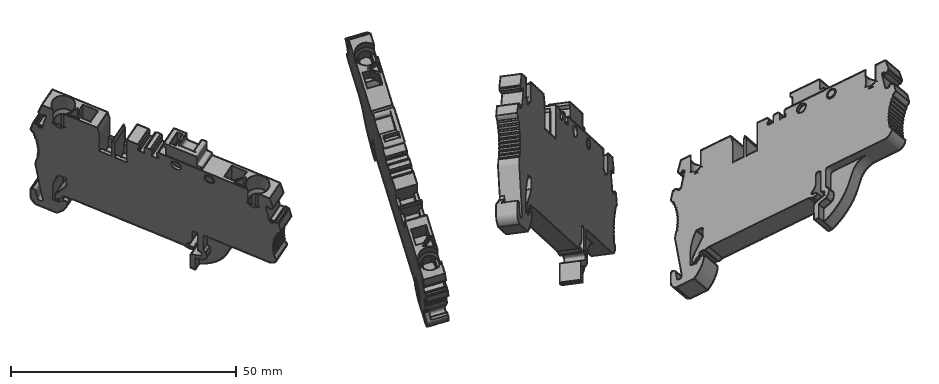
import cadquery as cq
import math

length = 62.8
width = 5
height = 40.1
half_length = length / 2
top_z = 36.1
belly_z = 7.1
shelf_z = 13.4

grip_top_z = 25.4
grip_bottom_z = 15.95
grip_teeth = 10
grip_tooth_depth = 0.25
grip_radius = 13.8
grip_waist_x = 29.6
grip_waist_z = 19.15

slot_left_x = -14.15
slot_right_x = -7.3
slot_floor_z = 28.15
blade_left_x = -11.05
blade_right_x = -10.3
groove_floor_z = 34.0
groove_left_x = (-4.1, -2.8)
groove_right_x = (-1.0, 0.3)
groove_lip = 0.4

pocket_front_y = 0.8
pocket_back_y = 4.35

entry_x = 24.4
entry_y = 2.25
entry_radius = 2.65
entry_depth = 4.7
entry_flat_width = 0.55
funnel_radius = 2.1
funnel_depth = 1.0
bore_inner_reach = 1.9
bore_back_y = 3.85
bore_depth = 6.3

release_inner_x = 16.8
release_outer_x = 20.55
release_floor_x = 19.7
release_depth = 9.4
release_rise = 2.5
release_corner = ((20.55, 2.6), (19.1, pocket_front_y))
gusset_corners = ((21.2, 2.95), (22, 0.45), (19.4, 0.45))
gusset_depth = 3.15

slot_pocket_depth = 3.15

slider_front_y = 0.1
slider_left_x = 2.45
slider_right_x = 10.2
slider_step_x = 11.5
slider_step_z = 37.0
slider_root_depth = 0.6
slider_root_chamfer = 0.3
slider_corner = 0.3
slider_step_corner = 0.45
scoop_front_y = 1.2
scoop_left_x = 5.1
scoop_right_x = 9.05
scoop_floor_z = 37.9
scoop_fillet = 0.6
bar_x = 9.4
bar_radius = 0.75
slider_pocket_x = (3.15, 3.7, 4.5)
slider_pocket_depth = 3.15
slider_pocket_ridge = 0.6

round_z = 34.1
round_diameter = 2.5
socket_x = 5.1
socket_depth = 0.75
pin_x = 13.45
pin_diameter = 2.0
pin_groove_depth = 1.25

relief_radius = 0.4
relief_depth = 0.4
groove_relief_z = 34.4
notch_reliefs = ((27.95, 32.5), (29.15, 28.15))

latch_web_thickness = 1.1
foot_web_thickness = 3.15
web_overlap = 0.6


def plate(sketch, start_y, end_y):
    """Extrude a closed XZ outline from start_y to end_y."""
    return sketch.extrude(start_y - end_y).translate((0, start_y, 0))


def both_ends(shape):
    """Add the mirror image about the YZ plane."""
    return shape.union(shape.mirror("YZ"))


def block(x, y, z):
    """Box between pairs of limits."""
    size = (x[1] - x[0], y[1] - y[0], z[1] - z[0])
    return cq.Workplane("XY").box(*size, centered=False).translate((x[0], y[0], z[0]))


def grip_x(z):
    """Distance of the concave grip surface from the middle plane."""
    sag = grip_radius - math.sqrt(grip_radius**2 - (z - grip_waist_z) ** 2)
    return grip_waist_x + sag


def end_profile():
    """Points down the right end: top corner, label notch, nose and serrated grip."""
    points = [
        (28.6, top_z), (29.45, 33.1), (29.35, 32.85), (28.95, 32.5), (27.6, 32.35), (28.5, 28.15),
        (29.65, 28.35), (30.0, 28.6), (30.45, 28.35), (30.85, 28.35), (half_length, 25.9),
    ]
    pitch = (grip_top_z - grip_bottom_z) / grip_teeth
    for tooth in range(grip_teeth):
        crest_z = grip_top_z - tooth * pitch
        valley_z = crest_z - pitch / 2
        points.append((grip_x(crest_z), crest_z))
        points.append((grip_x(valley_z) - grip_tooth_depth, valley_z))
    points.append((grip_x(grip_bottom_z), grip_bottom_z))
    return points


def body():
    right_end = end_profile()
    left_end = [(-x, z) for x, z in right_end]
    outline = cq.Workplane("XZ").polyline(left_end)

    outline = (
        outline.lineTo(-30.2, 14.3).lineTo(-30.15, 13.9).lineTo(-28.35, 2.7)
        .threePointArc((-28.9, 1.95), (-29.65, 2.4))
        .lineTo(-30.0, 4.5)
        .threePointArc((-30.45, 5.15), (-30.9, 5.3))
        .threePointArc((-31.3, 4.95), (-half_length, 4.45))
        .lineTo(-half_length, 1.95)
        .threePointArc((-30.9, 0.75), (-29.9, 0))
        .lineTo(-24.9, 0)
        .threePointArc((-23.05, 2.15), (-22.05, 5))
        .lineTo(-22.05, 5.45).lineTo(-23.45, 5.45).lineTo(-23.45, 5).lineTo(-24.45, 4.2).lineTo(-25.4, 4.2)
        .threePointArc((-25.75, 4.35), (-25.9, 4.8))
    )
    outline = (
        outline.lineTo(-25.9, 8.35)
        .threePointArc((-25.4, 11.2), (-24.25, 13.6))
        .lineTo(-22.8, 13.6)
        .threePointArc((-22.55, 13.45), (-22.4, 13.2))
        .lineTo(-22.4, 10.9).lineTo(-25.3, 6.2).lineTo(-25.3, 4.8).lineTo(-24.55, 4.8)
        .lineTo(-24.45, 5.3).lineTo(-23.45, 5.95).lineTo(-23.45, 6.55).lineTo(-23.0, 6.9)
        .lineTo(-22.2, 6.9).lineTo(-21.8, 6.7).lineTo(-20.7, belly_z)
    )
    outline = (
        outline.lineTo(7.2, belly_z).lineTo(8.3, 6.7).lineTo(9.0, 6.7)
        .threePointArc((9.4, 7.15), (9.0, 7.65))
        .lineTo(8.3, 7.65).lineTo(7.8, 8.1)
        .threePointArc((8.8, 9.2), (9.2, 10.55))
    )
    outline = (
        outline.lineTo(9.2, 12.75)
        .threePointArc((9.8, shelf_z), (10.5, 12.75))
        .lineTo(10.5, 7.4).lineTo(11.05, 7.1)
        .threePointArc((11.4, 6.9), (11.5, 6.55))
        .lineTo(11.5, 5.85).lineTo(9.35, 5)
        .threePointArc((8.8, 4.7), (8.6, 4.2))
        .lineTo(8.6, 0.25).lineTo(8.85, 0).lineTo(9.9, 0).lineTo(9.9, 3.95).lineTo(12.0, 4.7)
        .threePointArc((12.75, 6.1), (12.5, 7.5))
        .lineTo(11.9, 8.1).lineTo(11.9, 12.6)
        .threePointArc((12.1, 13.1), (12.6, shelf_z))
        .lineTo(28.65, shelf_z)
        .threePointArc((29.9, 14.2), (30.35, 15.4))
    )
    for point in reversed(right_end):
        outline = outline.lineTo(*point)
    for left, right in (groove_right_x, groove_left_x):
        outline = (
            outline.lineTo(right + groove_lip, top_z).lineTo(right, top_z - groove_lip)
            .lineTo(right, groove_floor_z).lineTo(left, groove_floor_z)
            .lineTo(left, top_z - groove_lip).lineTo(left - groove_lip, top_z)
        )
    outline = (
        outline.lineTo(slot_right_x, top_z).lineTo(slot_right_x, slot_floor_z)
        .lineTo(blade_right_x, slot_floor_z).lineTo(blade_right_x, 33.1).lineTo(-10.7, 34.05)
        .lineTo(blade_left_x, 33.1).lineTo(blade_left_x, slot_floor_z)
        .lineTo(slot_left_x, slot_floor_z).lineTo(slot_left_x, 34.2).lineTo(-14.7, top_z)
    )
    return plate(outline.close(), 0, width)


def foot_web():
    """Curved web that stiffens the fixed foot."""
    outline = (
        cq.Workplane("XZ").moveTo(9.4, 0).lineTo(9.9, 0)
        .threePointArc((13.95, 3.0), (16.6, 6.9))
        .lineTo(17.8, 10.0)
        .threePointArc((19.3, 12.4), (21.55, shelf_z))
        .lineTo(21.55, shelf_z + web_overlap).lineTo(11.0, shelf_z + web_overlap)
        .lineTo(11.0, 7.4).lineTo(11.95, 6.55).lineTo(11.95, 5.35).lineTo(9.4, 4.4)
    )
    return plate(outline.close(), width - foot_web_thickness, width)


def latch_web():
    """Small web that closes the back of the screwdriver slot."""
    outline = cq.Workplane("XZ").polyline([
        (-29.15, 7.55), (-29.2, 6.65), (-29.65, 6.35), (-30.9, 5.3), (-29.85, 1.75), (-28.15, 1.75),
    ])
    return plate(outline.close(), width - latch_web_thickness, width)


def slider():
    """Slider with a round bar behind its right end, a scoop and a pocket with a ridged floor."""
    root_z = top_z - slider_root_depth
    chamfer_x = slider_left_x + slider_root_chamfer
    outline = (
        cq.Workplane("XZ").moveTo(chamfer_x, root_z).lineTo(chamfer_x, top_z)
        .lineTo(slider_left_x, top_z + slider_root_chamfer).lineTo(slider_left_x, 38.65).lineTo(1.8, 39.25)
        .lineTo(1.8, 39.75)
        .threePointArc((1.9, 39.95), (2.15, height))
        .lineTo(slider_right_x - slider_corner, height)
        .tangentArcPoint((slider_corner, -slider_corner))
        .lineTo(slider_right_x, slider_step_z + slider_corner)
        .tangentArcPoint((slider_corner, -slider_corner))
        .lineTo(slider_step_x - slider_step_corner, slider_step_z)
        .tangentArcPoint((slider_step_corner, -slider_step_corner))
        .lineTo(slider_step_x, root_z)
    )
    bar_z = height - bar_radius
    scoop = (
        cq.Workplane("XZ").moveTo(bar_x, height).lineTo(scoop_left_x, height)
        .lineTo(scoop_left_x, scoop_floor_z + scoop_fillet)
        .tangentArcPoint((scoop_fillet, -scoop_fillet))
        .lineTo(scoop_right_x, scoop_floor_z).lineTo(scoop_right_x, bar_z).lineTo(bar_x, bar_z)
    )
    bar = cq.Workplane("XZ").center(bar_x, bar_z).circle(bar_radius)
    left, ridge, right = slider_pocket_x
    floor_z = height - slider_pocket_depth
    pocket = cq.Workplane("XZ").polyline([
        (left, height), (left, floor_z), (ridge, floor_z + slider_pocket_ridge),
        (right, floor_z), (right, height),
    ])
    return (
        plate(outline.close(), slider_front_y, width)
        .cut(plate(scoop.close(), scoop_front_y, width))
        .union(plate(bar, scoop_front_y, width))
        .cut(plate(pocket.close(), pocket_front_y, pocket_back_y))
    )


def wire_entry():
    """Wide mouth that breaks through the front face, a funnel and a flattened bore."""
    mouth_z = top_z - entry_depth
    bore_z = mouth_z - funnel_depth
    mouth = cq.Workplane("XY", origin=(entry_x, entry_y, mouth_z)).circle(entry_radius).extrude(entry_depth)
    funnel = (
        cq.Workplane("XY", origin=(entry_x, entry_y, bore_z)).circle(funnel_radius)
        .workplane(offset=funnel_depth).circle(entry_radius).loft()
    )
    bore = cq.Workplane("XY", origin=(entry_x, entry_y, bore_z)).circle(funnel_radius).extrude(-bore_depth)
    back_y = entry_y + math.sqrt(entry_radius**2 - (entry_flat_width / 2) ** 2)
    x_limits = (entry_x - entry_radius, entry_x + entry_radius)
    bore_x_limits = (entry_x - bore_inner_reach, entry_x + entry_radius)
    mouth_room = block(x_limits, (-entry_radius, back_y), (bore_z, top_z))
    bore_room = block(bore_x_limits, (pocket_front_y, bore_back_y), (bore_z - bore_depth, bore_z))
    return mouth.union(funnel).intersect(mouth_room).union(bore.intersect(bore_room))


def release_pocket():
    """Screwdriver pocket with a sloping floor and a cut corner, and the three-cornered pocket beside it."""
    floor_z = top_z - release_depth
    wedge = cq.Workplane("XZ").polyline([
        (release_inner_x, top_z), (release_outer_x, top_z),
        (release_outer_x, floor_z + release_rise), (release_floor_x, floor_z + release_rise),
        (release_inner_x, floor_z),
    ])
    mouth = cq.Workplane("XY", origin=(0, 0, top_z)).polyline([
        (release_inner_x, pocket_front_y), release_corner[1], release_corner[0],
        (release_outer_x, pocket_back_y), (release_inner_x, pocket_back_y),
    ])
    pocket = plate(wedge.close(), 0, width).intersect(mouth.close().extrude(-release_depth))
    gusset = cq.Workplane("XY", origin=(0, 0, top_z)).polyline(gusset_corners).close().extrude(-gusset_depth)
    return pocket.union(gusset)


def slot_pockets():
    z_limits = (slot_floor_z - slot_pocket_depth, slot_floor_z)
    y_limits = (pocket_front_y, pocket_back_y)
    left = block((slot_left_x, blade_left_x), y_limits, z_limits)
    return left.union(block((blade_right_x, slot_right_x), y_limits, z_limits))


def round_features():
    """Blind socket, and a ring groove around a pin."""
    socket = cq.Workplane("XZ").center(socket_x, round_z).circle(round_diameter / 2)
    ring = cq.Workplane("XZ").center(pin_x, round_z).circle(round_diameter / 2).circle(pin_diameter / 2)
    return plate(socket, 0, socket_depth).union(plate(ring, 0, pin_groove_depth))


def corner_reliefs():
    centres = [(groove_left_x[0], groove_relief_z), (groove_right_x[1], groove_relief_z)]
    for x, z in notch_reliefs:
        centres += [(-x, z), (x, z)]
    return plate(cq.Workplane("XZ").pushPoints(centres).circle(relief_radius), 0, relief_depth)


result = (
    body()
    .union(foot_web())
    .union(latch_web())
    .union(slider())
    .cut(both_ends(wire_entry()))
    .cut(both_ends(release_pocket()))
    .cut(slot_pockets())
    .cut(round_features())
    .cut(corner_reliefs())
)